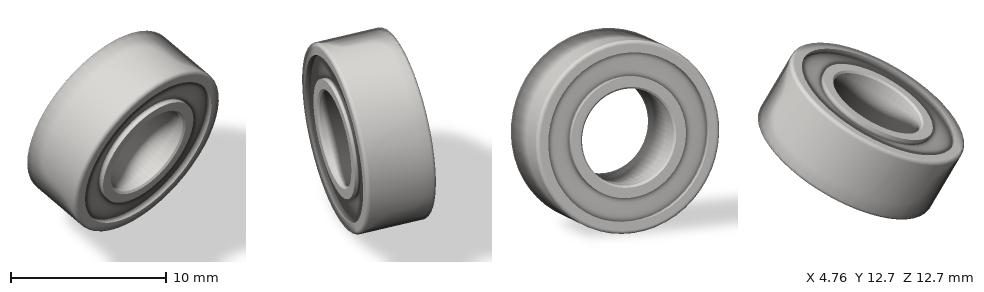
import cadquery as cq

outer_diameter = 12.7
width = 4.76
bore_diameter = 6.35
inner_ring_diameter = 7.95
outer_ring_bore = 11.13
shield_recess = 0.4
outer_fillet = 0.24
bore_chamfer = 0.13


def tube(outside, inside, length):
    """Hollow cylinder along X, centred on the origin."""
    middle_radius = (outside + inside) / 4
    wall = (outside - inside) / 2
    section = cq.Workplane("XZ").moveTo(0, middle_radius).rect(length, wall)
    return section.revolve(360, (0, 0), (1, 0))


ring = tube(outer_diameter, bore_diameter, width)
ring = ring.edges(cq.selectors.RadiusNthSelector(0)).chamfer(bore_chamfer)
ring = ring.edges(cq.selectors.RadiusNthSelector(-1)).fillet(outer_fillet)

recess = tube(outer_ring_bore, inner_ring_diameter, shield_recess)
recess_offset = (width - shield_recess) / 2
for side in (-1, 1):
    ring = ring.cut(recess.translate((side * recess_offset, 0, 0)))

result = ring